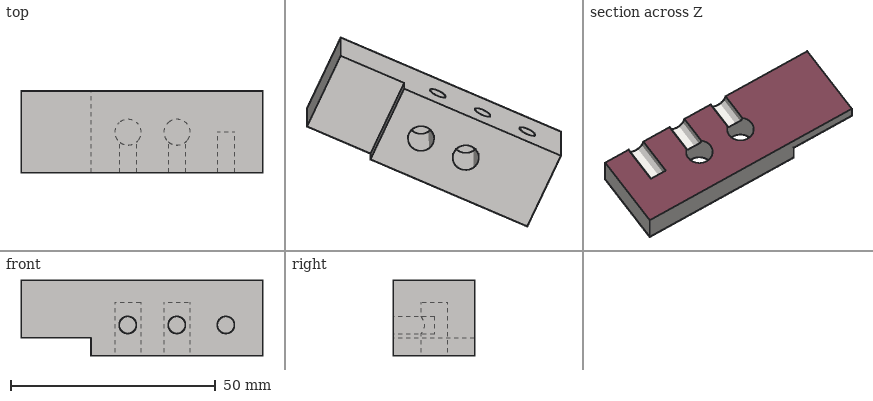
import cadquery as cq

length = 59.0
width = 20.0
height = 18.5
cover_thickness = 5.5

step_length = 17.0
step_height = 4.4

side_hole_diameter = 4.2
side_hole_pitch = 12.0
last_hole_to_end = 9.0
side_hole_below_top = 11.0
side_hole_depth = width / 2

bore_diameter = 6.4
bore_depth = height - cover_thickness

last_hole_x = length - last_hole_to_end
side_hole_xs = [last_hole_x - i * side_hole_pitch for i in (2, 1, 0)]
bored_xs = side_hole_xs[:2]


def make_block():
    """Block with its -X, -Y, bottom corner at the origin and the step removed."""
    block = cq.Workplane("XY").box(length, width, height, centered=False)
    step = cq.Workplane("XY").box(step_length, width, step_height, centered=False)
    return block.cut(step)


def make_side_hole(x):
    """Flat-bottomed round hole running in +Y from the -Y face."""
    center = cq.Vector(x, 0, height - side_hole_below_top)
    return cq.Solid.makeCylinder(
        side_hole_diameter / 2, side_hole_depth, center, cq.Vector(0, 1, 0)
    )


def make_bore(x):
    """Vertical bore rising from the bottom, on the middle of the width."""
    return cq.Solid.makeCylinder(bore_diameter / 2, bore_depth, cq.Vector(x, width / 2, 0))


result = make_block()
for x in side_hole_xs:
    result = result.cut(cq.Workplane(obj=make_side_hole(x)))
for x in bored_xs:
    result = result.cut(cq.Workplane(obj=make_bore(x)))